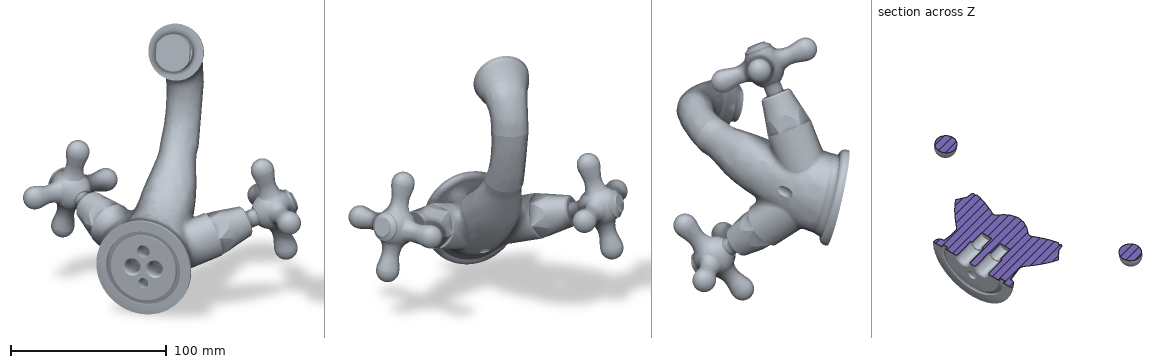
import cadquery as cq
import math


flange_radius = 31.5
flange_rim = 2.0
flange_thickness = 5.5
flange_top_radius = 28.0
flange_bulge_radius = 30.5
flange_bulge_height = 4.2
collar_radius = 27.0

collar_end = (10.7, 2.7, -2, 26.4, 25.1)
body_end = (81.9, 56.4, 65, 12.4, 11.7)
neck_end = (94.25, 94.9, 90, 12.1, 12.1)
bend_end = (83.7, 116.1, 150, 14.6, 13.0)
body_stations = [
    (32.0, 11.0, 14, 22.0, 20.6),
    (43.3, 17.8, 25, 19.5, 18.2),
    (53.4, 25.2, 36, 18.2, 16.5),
    (68.3, 39.8, 52, 15.0, 13.4),
]
neck_stations = [(91.9, 78.7, 78, 11.5, 11.0)]
bend_stations = [(91.4, 107.0, 120, 12.4, 12.4)]
flare_stations = [(80.5, 118.1, 160, 16.4, 15.3)]

outlet_heading = 166
outlet_center = (73.6, 122.1)
lip_radius = 18.4
lip_thickness = 4.0
lip_back_radius = 17.6
nozzle_radius = 12.0
nozzle_length = 7.2
nozzle_flat_length = 2.8
nozzle_flat_width = 9.3

arm_root = (0, 15.3, 0)
arm_swing = 36.3
arm_rise = 16.3
arm_radius = 14.8
arm_length = 44.5
arm_fillet = 3.5
edge_tolerance = 0.05
hex_flat_distance = 12.75
hex_turn = -22
cone_end = 68.5
cone_end_radius = 9.9
cone_end_chamfer = 1.0
stem_radius = 5.7

handle_distance = 88.3
hub_radius = 12.8
hub_back = -13.0
hub_back_radius = 6.5
cap_start = 10.0
cap_radius = 9.0
cap_rim_end = 11.5
cap_face = 13.4
cap_face_radius = 6.0
cap_height = 14.2
spoke_ball_distance = 28.7
spoke_ball_radius = 7.5
spoke_neck_distance = 19.0
spoke_neck_radius = 5.8
spoke_root_distance = 9.3
spoke_root_radius = 8.8

groove_outer_radius = 24.7
groove_inner_radius = 21.8
groove_depth = 2.0
inlet_offset = 7.5
inlet_radius = 5.0
inlet_depth = 15.0
inlet_chamfer = 0.9
inlet_bore_radius = 3.8
inlet_bore_depth = 25.0
stud_offset = 11.2
stud_radius = 4.2
stud_depth = 15.0
tie_offset = 10.2
tie_radius = 3.3
tie_length = 60.0


def heading_vector(heading):
    """Unit vector in the YZ plane at the given angle from +Y towards +Z."""
    angle = math.radians(heading)
    return cq.Vector(0, math.cos(angle), math.sin(angle))


def section_plane(y, z, heading):
    """Plane across the spout; its local x is the part's X."""
    return cq.Plane(origin=(0, y, z), xDir=(1, 0, 0), normal=heading_vector(heading))


def spout_wire(y, z, heading, half_width, half_height):
    return cq.Workplane(section_plane(y, z, heading)).ellipse(half_width, half_height).wires().val()


def make_flange():
    bulge = (flange_bulge_radius, flange_bulge_height)
    profile = (
        cq.Workplane("XY")
        .lineTo(flange_radius, 0)
        .lineTo(flange_radius, flange_rim)
        .threePointArc(bulge, (flange_top_radius, flange_thickness))
        .lineTo(0, flange_thickness)
        .close()
    )
    return profile.revolve(360, (0, 0, 0), (0, 1, 0))


def loft_through(stations):
    return cq.Workplane(cq.Solid.makeLoft([spout_wire(*station) for station in stations]))


def make_spout():
    collar_start = (flange_thickness, 0, 0, collar_radius, collar_radius)
    back_center = cq.Vector(0, *outlet_center) - heading_vector(outlet_heading) * lip_thickness
    lip_back = (back_center.y, back_center.z, outlet_heading, lip_back_radius, lip_back_radius)
    collar = loft_through([collar_start, collar_end])
    body = loft_through([collar_end, *body_stations, body_end])
    neck = loft_through([body_end, *neck_stations, neck_end])
    bend = loft_through([neck_end, *bend_stations, bend_end])
    flare = loft_through([bend_end, *flare_stations, lip_back])
    return collar.union(body).union(neck).union(bend).union(flare)


def make_outlet():
    plane = section_plane(*outlet_center, outlet_heading)
    lip = cq.Workplane(
        cq.Solid.makeCone(
            lip_radius, lip_back_radius, lip_thickness, pnt=plane.origin, dir=plane.zDir * -1
        )
    )
    nozzle = cq.Workplane(plane).circle(nozzle_radius).extrude(nozzle_length)
    flat_distance = math.sqrt(nozzle_radius**2 - (nozzle_flat_width / 2) ** 2)
    flats = (
        cq.Workplane(plane)
        .workplane(offset=nozzle_length - nozzle_flat_length)
        .circle(2 * nozzle_radius)
        .rect(2 * flat_distance, 2 * nozzle_radius)
        .extrude(nozzle_flat_length)
    )
    return lip.union(nozzle.cut(flats))


def make_arm():
    """Outer valve arm along +Z: cone with hexagon flats, and stem."""
    cone_base = cq.Vector(0, 0, arm_length)
    cone = cq.Workplane(
        cq.Solid.makeCone(arm_radius, cone_end_radius, cone_end - arm_length, pnt=cone_base)
    )
    cone = cone.faces(">Z").chamfer(cone_end_chamfer)
    hexagon = (
        cq.Workplane("XY")
        .workplane(offset=arm_length)
        .transformed(rotate=(0, 0, hex_turn))
        .polygon(6, 2 * hex_flat_distance, circumscribed=True)
        .extrude(cone_end - arm_length)
    )
    stem = cq.Workplane("XY").workplane(offset=cone_end).circle(stem_radius)
    stem = stem.extrude(handle_distance - cone_end)
    return cone.intersect(hexagon).union(stem)


def make_hub():
    """Handle hub along +Z with a domed cap."""
    profile = (
        cq.Workplane("XZ")
        .moveTo(0, hub_back)
        .lineTo(hub_back_radius, hub_back)
        .threePointArc((hub_radius, 0), (cap_radius, cap_start))
        .lineTo(cap_radius, cap_rim_end)
        .lineTo(cap_face_radius, cap_face)
        .lineTo(cap_face_radius, cap_height)
        .lineTo(0, cap_height)
        .close()
    )
    return profile.revolve(360, (0, 0, 0), (0, 1, 0))


def make_spoke():
    """Handle spoke along +X: flared root, neck and ball end."""
    profile = (
        cq.Workplane("XY")
        .moveTo(spoke_root_distance, 0)
        .lineTo(spoke_root_distance, spoke_root_radius)
        .spline(
            [(spoke_neck_distance, spoke_neck_radius), (spoke_ball_distance, spoke_ball_radius)],
            tangents=[(1, -1), (1, 0)],
            includeCurrent=True,
        )
        .threePointArc(
            (spoke_ball_distance + spoke_ball_radius * math.sqrt(0.5), spoke_ball_radius * math.sqrt(0.5)),
            (spoke_ball_distance + spoke_ball_radius, 0),
        )
        .close()
    )
    return profile.revolve(360, (0, 0, 0), (1, 0, 0))


def make_handle():
    handle = make_hub()
    spoke = make_spoke()
    for quarter in range(4):
        handle = handle.union(spoke.rotate((0, 0, 0), (0, 0, 1), 90 * quarter))
    return handle.translate((0, 0, handle_distance))


def arm_plane(side):
    """Plane at the root of the arm on the given X side, facing outwards with its x axis level."""
    swing = math.radians(arm_swing)
    rise = math.radians(arm_rise)
    level_reach = math.cos(rise)
    axis = (side * level_reach * math.cos(swing), level_reach * math.sin(swing), math.sin(rise))
    level = (-side * math.sin(swing), math.cos(swing), 0)
    return cq.Plane(origin=arm_root, xDir=level, normal=axis)


def lies_on_arm(edge, plane):
    """True when the whole edge runs on the round arm root, short of its outer end."""
    for fraction in (0, 0.25, 0.5, 0.75):
        offset = edge.positionAt(fraction) - plane.origin
        along = offset.dot(plane.zDir)
        distance = (offset - plane.zDir * along).Length
        if abs(distance - arm_radius) > edge_tolerance or along > arm_length - edge_tolerance:
            return False
    return True


def add_arm_root(body, plane):
    """Join one round arm root to the body and round the corner between them."""
    joined = body.union(cq.Workplane(plane).circle(arm_radius).extrude(arm_length))
    seam = [edge for edge in joined.edges().vals() if lies_on_arm(edge, plane)]
    return cq.Workplane(joined.val().fillet(arm_fillet, seam))


def cut_mounting_face(body):
    face = cq.Plane(origin=(0, 0, 0), xDir=(-1, 0, 0), normal=(0, 1, 0))
    groove = cq.Workplane(face).circle(groove_outer_radius).circle(groove_inner_radius).extrude(groove_depth)
    body = body.cut(groove)
    for side in (-1, 1):
        center = (side * inlet_offset, 0)
        inlet = cq.Workplane(face).center(*center).circle(inlet_radius).extrude(inlet_depth)
        mouth = cq.Solid.makeCone(
            inlet_radius + inlet_chamfer,
            inlet_radius,
            inlet_chamfer,
            pnt=cq.Vector(side * inlet_offset, 0, 0),
            dir=cq.Vector(0, 1, 0),
        )
        bore = cq.Workplane(face).center(*center).circle(inlet_bore_radius).extrude(inlet_bore_depth)
        body = body.cut(inlet).cut(cq.Workplane(mouth)).cut(bore)
    stud = cq.Workplane(face).center(0, stud_offset).circle(stud_radius).extrude(stud_depth)
    tie = cq.Workplane(face).center(0, -tie_offset).circle(tie_radius).extrude(tie_length)
    return body.cut(stud).cut(tie)


left_plane = arm_plane(-1)
right_plane = arm_plane(1)
body = make_flange().union(make_spout()).union(make_outlet())
body = add_arm_root(body, left_plane)
body = add_arm_root(body, right_plane)
left_valve = cq.Workplane(make_arm().union(make_handle()).val().moved(cq.Location(left_plane)))
right_valve = left_valve.mirror("YZ")
body = body.union(left_valve).union(right_valve)
result = cut_mounting_face(body)